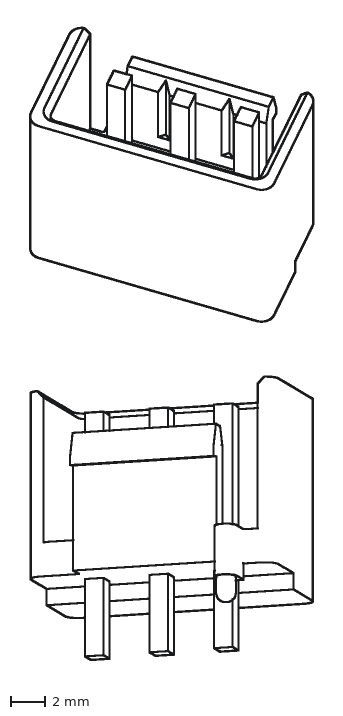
import cadquery as cq


width = 15.14
depth = 7.92
height = 12.0
corner_radius = 0.8
wall = 1.02
inner_radius = 0.4
floor_top = 3.0
mouth_chamfer = 0.4
chamfer_share = 0.999
step_start = 4.3
step_height = 0.97

pitch = 3.95
pin_size = 1.14
pin_y = 5.83
pin_bottom = height - 15.62
pin_top = 10.84

latch_width = 8.78
latch_back = 9.01
latch_top = 9.12
latch_top_front = 8.33
latch_bevel_bottom = 8.08
hook_top_back = 9.1
hook_tip = 9.58
hook_tip_top = 7.65
hook_tip_bottom = 7.12
hook_root_bottom = 7.2
groove_half_width = 0.36
groove_depth = 0.33
groove_bottom = 4.0

total_depth = 9.89
lug_width = 1.31
lug_x = -(latch_width + lug_width) / 2
lug_fillet = 0.1
peg_diameter = 1.15
peg_length = 1.52
peg_rounding = 0.53


def box(x_min, x_max, y_min, y_max, z_min, z_max):
    """Box between the given limits."""
    size = (x_max - x_min, y_max - y_min, z_max - z_min)
    return cq.Workplane("XY").box(*size, centered=False).translate((x_min, y_min, z_min))


def make_housing():
    """Rounded shell with a solid floor, open at the top and the back."""
    body = box(-width / 2, width / 2, 0, depth, 0, height).edges("|Z").fillet(corner_radius)
    inner_x = width / 2 - wall
    cavity = box(-inner_x, inner_x, wall, total_depth, floor_top, height)
    cavity = cavity.edges("|Z and <Y").fillet(inner_radius)
    mouth_x = inner_x + mouth_chamfer
    mouth_base = height - mouth_chamfer
    mouth = box(-mouth_x, mouth_x, wall - mouth_chamfer, total_depth, mouth_base, height)
    mouth = mouth.edges("|Z and <Y").fillet(inner_radius + mouth_chamfer)
    mouth = mouth.faces("<Z").edges("not >Y").chamfer(mouth_chamfer * chamfer_share)
    step = box(-width / 2, width / 2, step_start, depth, 0, step_height)
    return body.cut(cavity).cut(mouth).cut(step)


def make_latch():
    """Upright arm with an outward hook and vertical V grooves on its inner face."""
    profile = [
        (depth, step_height),
        (latch_back, step_height),
        (latch_back, hook_root_bottom),
        (hook_tip, hook_tip_bottom),
        (hook_tip, hook_tip_top),
        (hook_top_back, latch_top),
        (latch_top_front, latch_top),
        (depth, latch_bevel_bottom),
    ]
    arm = cq.Workplane("YZ").polyline(profile).close().extrude(latch_width / 2, both=True)
    for groove_x in (-pitch / 2, pitch / 2):
        groove = (
            cq.Workplane("XY", origin=(groove_x, depth, groove_bottom))
            .moveTo(-groove_half_width, 0)
            .lineTo(groove_half_width, 0)
            .lineTo(0, groove_depth)
            .close()
            .extrude(latch_top - groove_bottom)
        )
        arm = arm.cut(groove)
    return arm


def make_lug():
    """Round-ended lug flush with the floor, with a domed peg under it."""
    end_radius = lug_width / 2
    end_y = total_depth - end_radius
    left = lug_x - end_radius
    right = lug_x + end_radius
    lug = (
        cq.Workplane("XY")
        .moveTo(left, depth)
        .lineTo(left, end_y)
        .threePointArc((lug_x, total_depth), (right, end_y))
        .lineTo(right, depth)
        .close()
        .extrude(floor_top)
    )
    fillet = (
        cq.Workplane("XY", origin=(0, 0, step_height))
        .moveTo(left, depth)
        .lineTo(left, depth + lug_fillet)
        .radiusArc((left - lug_fillet, depth), lug_fillet)
        .close()
        .extrude(floor_top - step_height)
    )
    peg = (
        cq.Workplane("XY", origin=(lug_x, end_y, -peg_length))
        .circle(peg_diameter / 2)
        .extrude(peg_length)
        .faces("<Z")
        .edges()
        .fillet(peg_rounding)
    )
    return lug.union(fillet).union(peg)


def make_pin(x):
    """Square contact pin passing through the floor."""
    half = pin_size / 2
    return box(x - half, x + half, pin_y - half, pin_y + half, pin_bottom, pin_top)


result = make_housing().union(make_latch()).union(make_lug())
for pin_x in (-pitch, 0, pitch):
    result = result.union(make_pin(pin_x))